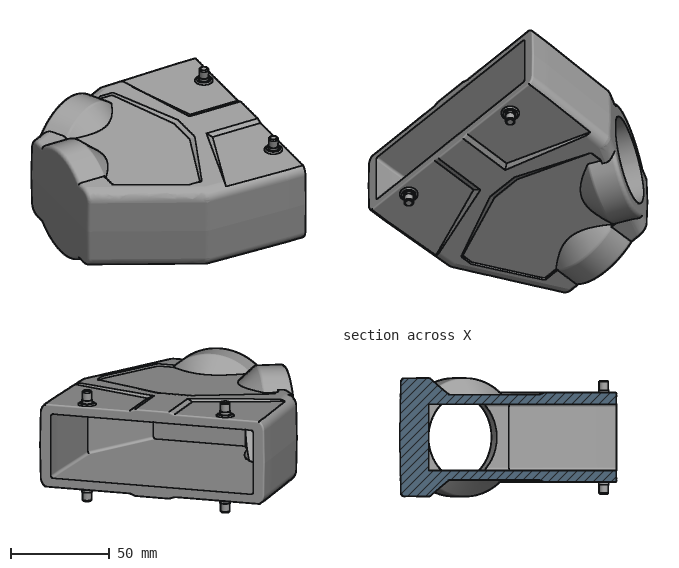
import cadquery as cq
import math

half_width = 60.0
length = 109.7
half_height = 22.7
draft = 1.2

straight_end = 10.5
straight_blend = 108.0
shoulder_half_width = 58.5
shoulder_y = -55.9
shoulder_blend = 4.8
front_half_width = 30.4
side_round = 6.0
front_round = 2.2
rear_round = 0.8

port_radius = 30.0
port_length = 15.4
port_cone_length = 11.3
port_cone_drop = 9.6
port_blend = 1.8
slant_angle = math.degrees(math.atan2(shoulder_half_width - front_half_width, length + shoulder_y))
slant_port_fraction = 0.51
slant_port_x = -shoulder_half_width + slant_port_fraction * (shoulder_half_width - front_half_width)
slant_port_y = shoulder_y - slant_port_fraction * (length + shoulder_y)
bore_radius = 22.7
bore_depth = 18.2
bore_tip_angle = 118.0

wall = 6.0
cavity_half_height = 16.7
cavity_front = -94.8
cavity_round = 1.5

panel_depth = 1.1
rib_half_width = 9.0
panel_wall_run = 3.0
rear_panel_top_y = -29.9
rear_panel_floor_y = -28.0
rear_panel_outer = (61.2, -46.0)
front_panel_top = [(8.9, -36.5), (47.2, -53.2), (47.2, -60.2), (28.8, -94.3)]
front_panel_floor = [(8.3, -39.1), (46.7, -53.9), (46.7, -60.1), (28.5, -94.0)]
front_panel_corner = 1.5

pin_x = 36.8
pin_y = -6.5
pin_top = 28.7
pin_collar_radius = 2.6
pin_shaft_radius = 2.4
pin_tip_radius = 1.8
pin_tip_height = 0.7
pin_collar_top = 23.9
pin_flare_radius = 4.5
pin_flare_top_radius = 3.6
pin_flare_height = 0.7

panel_floor_z = half_height - panel_depth
overlap = 6.0
tolerance = 0.01
pick_margin = 2.4


def mirrored(points):
    """Close a right-hand chain of points with its mirror image about x = 0."""
    return points + [(-x, y) for x, y in reversed(points)]


def plan_outline(rear_y, inset=0.0):
    """Closed outline of the block in plan, moved inwards by the inset."""
    right_side = [
        (half_width, rear_y),
        (half_width, -straight_end),
        (shoulder_half_width, shoulder_y),
        (front_half_width, -length),
    ]
    outline = cq.Workplane("XY").polyline(mirrored(right_side)).close().val()
    for corner_y, radius in ((-straight_end, straight_blend), (shoulder_y, shoulder_blend)):
        corners = [v for v in outline.Vertices() if abs(v.Y - corner_y) < tolerance]
        outline = outline.fillet2D(radius, corners)
    if inset:
        outline = outline.offset2D(-inset)[0]
    return outline


def column_at(x, y):
    """Selector box around an upright edge at plan position (x, y)."""
    return cq.selectors.BoxSelector(
        (x - pick_margin, y - pick_margin, 0),
        (x + pick_margin, y + pick_margin, half_height),
    )


def half_shell():
    """Upper half of the outer block, with drafted walls and rounded edges."""
    lean = half_height * math.tan(math.radians(draft))
    top_outline = plan_outline(overlap, lean).translate(cq.Vector(0, 0, half_height))
    block = cq.Workplane(cq.Solid.makeLoft([plan_outline(overlap), top_outline], True))
    rear_cut = cq.Workplane("XY").box(4 * half_width, 4 * half_width, 4 * half_width)
    block = block.cut(rear_cut.translate((0, 2 * half_width, 0)))
    broad_face = block.faces(">Z").edges()
    side_edges = [e for e in broad_face.vals() if abs(e.Center().x) > tolerance]
    block = block.newObject(side_edges).fillet(side_round)
    front_face = block.faces(cq.selectors.NearestToPointSelector((0, -length, half_height / 2)))
    front_edges = [e for e in front_face.edges().vals() if e.Center().z > tolerance]
    return block.newObject(front_edges).fillet(front_round)


def round_rear(block):
    """Soften the outer edge of the flat rear face."""
    rear_edges = [e for e in block.faces(">Y").edges().vals() if e.Center().z > tolerance]
    return block.newObject(rear_edges).fillet(rear_round)


def sloped_panel(top, floor):
    """Shallow recess tool whose walls lean from the floor outline out to the top outline."""
    return (
        cq.Workplane("XY", origin=(0, 0, panel_floor_z))
        .polyline(floor).close()
        .workplane(offset=panel_depth)
        .polyline(top).close()
        .loft(ruled=True)
    )


def rear_panel():
    """Recess tool for the panel right of the middle rib, open to the rear and the side."""
    outer_x, outer_y = rear_panel_outer

    def outline(inner_x, corner_y):
        return [(inner_x, overlap), (inner_x, corner_y), (outer_x, outer_y), (outer_x, overlap)]

    top = outline(rib_half_width, rear_panel_top_y)
    floor = outline(rib_half_width + panel_wall_run, rear_panel_floor_y)
    return sloped_panel(top, floor)


def front_panel():
    """Recess tool for the symmetric panel ahead of the rear panels."""
    panel = sloped_panel(mirrored(front_panel_top), mirrored(front_panel_floor))
    corners = []
    for x, y in front_panel_top[1:]:
        corners += [column_at(x, y), column_at(-x, y)]
    selector = corners[0]
    for corner in corners[1:]:
        selector = selector + corner
    uprights = [
        e for e in panel.edges(selector).vals()
        if abs(e.startPoint().z - e.endPoint().z) > panel_depth / 2
    ]
    return panel.newObject(uprights).fillet(front_panel_corner)


def half_port():
    """Upper half of a port boss; its face is at the origin and its axis runs along +Y."""
    cone_end = port_length + port_cone_length
    boss = (
        cq.Workplane("XY")
        .moveTo(0, -overlap)
        .lineTo(port_radius, -overlap)
        .lineTo(port_radius, port_length)
        .lineTo(port_radius - port_cone_drop, cone_end)
        .lineTo(0, cone_end)
        .close()
        .revolve(360, (0, 0, 0), (0, 1, 0))
    )
    shoulder = [e for e in boss.edges("%CIRCLE").vals() if abs(e.Center().y - port_length) < tolerance]
    boss = boss.newObject(shoulder).fillet(port_blend)
    reach = 2 * port_radius
    drafted_side = (
        cq.Workplane("YZ")
        .polyline([(0, 0), (reach * math.tan(math.radians(draft)), reach), (reach, reach), (reach, 0)])
        .close()
        .extrude(reach, both=True)
    )
    boss = boss.intersect(drafted_side)
    rim = [e for e in boss.faces("<Y").edges().vals() if e.Center().z > tolerance]
    return boss.newObject(rim).fillet(front_round)


def place_on_slant(shape):
    """Move a port shape from the origin onto the slanted -X wall."""
    turned = shape.rotate((0, 0, 0), (0, 0, 1), slant_angle - 90)
    return turned.translate((slant_port_x, slant_port_y, 0))


def port_bore():
    """Round bore with a conical drill end that runs out into the cavity."""
    tip_length = bore_radius / math.tan(math.radians(bore_tip_angle / 2))
    return (
        cq.Workplane("XY")
        .moveTo(0, -overlap)
        .lineTo(bore_radius, -overlap)
        .lineTo(bore_radius, bore_depth)
        .lineTo(0, bore_depth + tip_length)
        .close()
        .revolve(360, (0, 0, 0), (0, 1, 0))
    )


def bore_seat():
    """Solid stretch beside the bore, between the open port and the front wall."""
    seat = cq.Workplane("XY").box(length, 2 * bore_depth, 2 * half_height)
    return place_on_slant(seat.translate((length / 2, 0, 0)))


def cavity():
    """Hollow that follows the plan outline at the wall thickness and opens at the rear."""
    outline = cq.Workplane(plan_outline(wall + overlap, wall)).toPending()
    space = outline.extrude(cavity_half_height, both=True)
    front_wall = cq.Workplane("XY").box(2 * half_width, length, 2 * half_height)
    space = space.cut(front_wall.translate((0, cavity_front - length / 2, 0)))
    space = space.faces("|Z").edges("not <Y").edges("not >Y").fillet(cavity_round)
    return space.cut(bore_seat())


def pin():
    """Upper locking pin with a flared foot, a low collar and a chamfered tip."""
    foot = panel_floor_z - panel_depth
    profile = [
        (0, foot),
        (pin_flare_radius, foot),
        (pin_flare_radius, panel_floor_z),
        (pin_flare_top_radius, panel_floor_z + pin_flare_height),
        (pin_collar_radius, panel_floor_z + pin_flare_height),
        (pin_collar_radius, pin_collar_top),
        (pin_shaft_radius, pin_collar_top),
        (pin_shaft_radius, pin_top - pin_tip_height),
        (pin_tip_radius, pin_top),
        (0, pin_top),
    ]
    return cq.Workplane("XZ").polyline(profile).close().revolve(360, (0, 0, 0), (0, 1, 0))


right_panel = rear_panel()
upper = half_shell().cut(right_panel).cut(right_panel.mirror("YZ")).cut(front_panel())
upper = round_rear(upper)
upper = upper.union(half_port().translate((0, -length, 0)))
upper = upper.union(place_on_slant(half_port()))
for side in (1, -1):
    upper = upper.union(pin().translate((side * pin_x, pin_y, 0)))

result = upper.union(upper.mirror("XY"))
result = result.cut(cavity()).cut(place_on_slant(port_bore()))